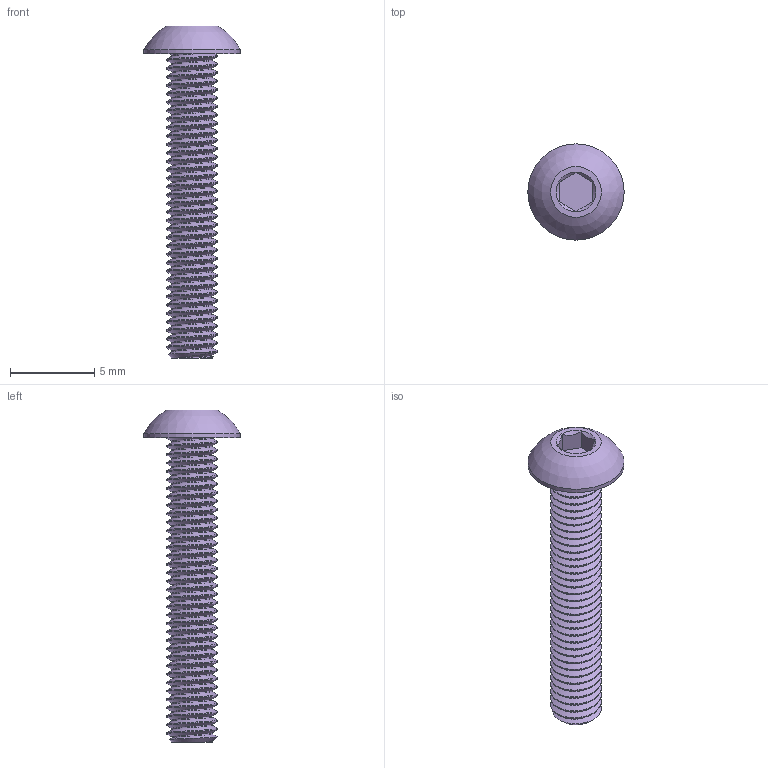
import cadquery as cq
import math


HEAD_DIAMETER = 5.7
HEAD_HEIGHT = 1.65
HEAD_RIM_HEIGHT = 0.25
HEAD_TOP_DIAMETER = 3.0

SOCKET_ACROSS_FLATS = 2.0
SOCKET_DEPTH = 1.2
SOCKET_MOUTH_DIAMETER = 2.36

THREAD_DIAMETER = 3.0
PITCH = 0.5
SHANK_LENGTH = 18.0
FLANK_HALF_ANGLE = math.radians(30)
THREAD_DEPTH = 0.6134 * PITCH
CREST_WIDTH = PITCH / 8
CREST_DROP_AT_MINUS_X = 0.36

HEX_SIDES = 6
HEX_HALF_ANGLE = math.pi / HEX_SIDES
HEAD_RADIUS = HEAD_DIAMETER / 2
HEAD_TOP_RADIUS = HEAD_TOP_DIAMETER / 2
THREAD_RADIUS = THREAD_DIAMETER / 2
ROOT_RADIUS = THREAD_RADIUS - THREAD_DEPTH
SOCKET_CORNER_DIAMETER = SOCKET_ACROSS_FLATS / math.cos(HEX_HALF_ANGLE)


def make_head():
    """Revolve the head outline: a short rim below a dome that is part of a sphere centred on the axis."""
    height_gap = HEAD_HEIGHT - HEAD_RIM_HEIGHT
    mean_height = (HEAD_HEIGHT + HEAD_RIM_HEIGHT) / 2
    centre_z = mean_height - (HEAD_RADIUS**2 - HEAD_TOP_RADIUS**2) / (2 * height_gap)
    dome_radius = math.hypot(HEAD_RADIUS, HEAD_RIM_HEIGHT - centre_z)
    middle_x = (HEAD_RADIUS + HEAD_TOP_RADIUS) / 2
    middle_z = centre_z + math.sqrt(dome_radius**2 - middle_x**2)
    return (
        cq.Workplane("XZ")
        .lineTo(HEAD_RADIUS, 0)
        .lineTo(HEAD_RADIUS, HEAD_RIM_HEIGHT)
        .threePointArc((middle_x, middle_z), (HEAD_TOP_RADIUS, HEAD_HEIGHT))
        .lineTo(0, HEAD_HEIGHT)
        .close()
        .revolve()
    )


def make_socket():
    """Hexagonal pocket with a 45 degree conical lead-in that just clears its corners."""
    hexagon = (
        cq.Workplane("XY", origin=(0, 0, HEAD_HEIGHT - SOCKET_DEPTH))
        .transformed(rotate=(0, 0, 90))
        .polygon(HEX_SIDES, SOCKET_CORNER_DIAMETER)
        .extrude(SOCKET_DEPTH)
    )
    mouth_radius = SOCKET_MOUTH_DIAMETER / 2
    lead_in = (
        cq.Workplane("XZ", origin=(0, 0, HEAD_HEIGHT))
        .lineTo(mouth_radius, 0)
        .lineTo(0, -mouth_radius)
        .close()
        .revolve()
    )
    return hexagon.union(lead_in)


def thread_profile():
    """Radius and height of the corners of one pitch of thread: flat root, flank, crest, flank."""
    flank_height = THREAD_DEPTH * math.tan(FLANK_HALF_ANGLE)
    root_width = PITCH - CREST_WIDTH - 2 * flank_height
    return [
        (ROOT_RADIUS, 0),
        (ROOT_RADIUS, root_width),
        (THREAD_RADIUS, root_width + flank_height),
        (THREAD_RADIUS, PITCH - flank_height),
        (ROOT_RADIUS, PITCH),
    ]


def one_turn(radius, start_z):
    """Single right-hand turn of a helix around Z, starting on the +X side."""
    wire = cq.Wire.makeHelix(PITCH, PITCH, radius)
    return wire.moved(cq.Location((0, 0, start_z))).Edges()[0]


def turn_faces(start_z):
    """Root, flank and crest faces of one turn of the thread."""
    helices = [one_turn(radius, start_z + z) for radius, z in thread_profile()]
    return [cq.Face.makeRuledSurface(lower, upper) for lower, upper in zip(helices, helices[1:])]


def end_faces(start_z):
    """Spiral ramp around the axis and the flat step joining its two ends, closing one end of the rod."""
    axis = cq.Edge.makeLine(cq.Vector(0, 0, start_z), cq.Vector(0, 0, start_z + PITCH))
    ramp = cq.Face.makeRuledSurface(axis, one_turn(ROOT_RADIUS, start_z))
    corners = [(0, 0), *thread_profile(), (0, PITCH)]
    step_outline = cq.Wire.makePolygon([cq.Vector(x, 0, start_z + z) for x, z in corners], close=True)
    return [ramp, cq.Face.makeFromWires(step_outline)]


def make_threaded_rod():
    """Solid threaded rod that overruns both ends of the shank."""
    turns_below = math.ceil(SHANK_LENGTH / PITCH) + 1
    turns_above = 2
    turn_count = turns_below + turns_above
    crest_z_at_plus_x = -CREST_DROP_AT_MINUS_X - PITCH / 2
    crest_centre = (thread_profile()[2][1] + thread_profile()[3][1]) / 2
    bottom_z = crest_z_at_plus_x - crest_centre - turns_below * PITCH
    faces = end_faces(bottom_z) + end_faces(bottom_z + turn_count * PITCH)
    for turn in range(turn_count):
        faces += turn_faces(bottom_z + turn * PITCH)
    return cq.Workplane(cq.Solid.makeSolid(cq.Shell.makeShell(faces)))


def make_shank():
    """Threaded rod trimmed to length, with its lower end chamfered at 45 degrees from the thread root."""
    chamfer_size = 2 * THREAD_DEPTH
    envelope = (
        cq.Workplane("XY")
        .circle(ROOT_RADIUS + chamfer_size)
        .extrude(-SHANK_LENGTH)
        .faces("<Z")
        .chamfer(chamfer_size)
    )
    return envelope.intersect(make_threaded_rod())


result = make_head().cut(make_socket()).union(make_shank())